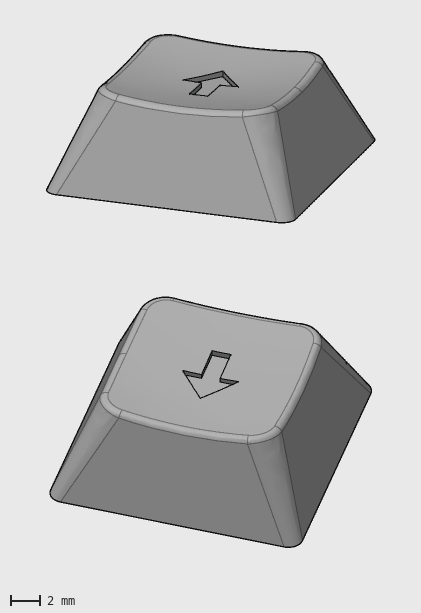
import cadquery as cq

base_width = 18.0
base_corner_radius = 1.0
blank_height = 7.2
blank_top_width = 12.31
blank_top_corner_radius = 2.0

dish_radius = 36.0
dish_bottom_height = 5.9
rim_fillet = 0.5

arrow_tip_y = 2.45
arrow_head_base_y = 0.0
arrow_tail_y = -2.5
arrow_head_width = 4.0
arrow_shaft_width = 1.33
arrow_floor_height = 5.58


def rounded_square(width, corner_radius):
    """Square profile with rounded corners."""
    return cq.Sketch().rect(width, width).vertices().fillet(corner_radius)


def make_body():
    """Straight-sided loft whose corners widen towards the top."""
    base = rounded_square(base_width, base_corner_radius)
    top = rounded_square(blank_top_width, blank_top_corner_radius)
    top = top.moved(cq.Location(cq.Vector(0, 0, blank_height)))
    return cq.Workplane("XY").placeSketch(base, top).loft(ruled=True)


def make_dish():
    """Sphere resting on the lowest point of the dished top."""
    return cq.Workplane("XY").sphere(dish_radius).translate((0, 0, dish_bottom_height + dish_radius))


def make_arrow():
    """Flat-bottomed arrow cutter reaching above the top face."""
    half_head = arrow_head_width / 2
    half_shaft = arrow_shaft_width / 2
    outline = [
        (0, arrow_tip_y),
        (half_head, arrow_head_base_y),
        (half_shaft, arrow_head_base_y),
        (half_shaft, arrow_tail_y),
        (-half_shaft, arrow_tail_y),
        (-half_shaft, arrow_head_base_y),
        (-half_head, arrow_head_base_y),
    ]
    cutter = cq.Workplane("XY").workplane(offset=arrow_floor_height)
    return cutter.polyline(outline).close().extrude(blank_height - arrow_floor_height)


body = make_body().cut(make_dish())
body = body.faces("%SPHERE").edges().fillet(rim_fillet)
result = body.cut(make_arrow())